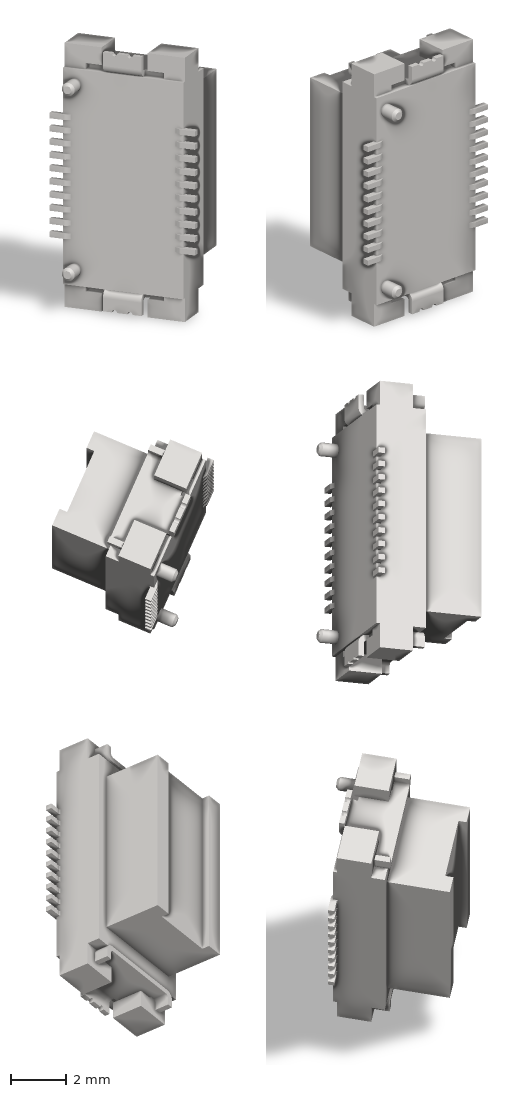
import cadquery as cq
import math


overall_height = 10.0
housing_width = 4.7
housing_depth = 1.9
core_height = 8.2
hood_width = 3.8
hood_height = 6.68
hood_back = 4.2
hood_notch_width = 2.46
hood_notch_depth = 0.3

post_width = 1.45
post_front = 0.14
post_back = 1.4
post_slot_width = 3.06
post_slot_height = 0.23

peg_diameter = 0.5
peg_length = 0.7
peg_chamfer = 0.1
peg_x = -1.9
peg_z = 3.5

leads_per_side = 10
lead_pitch = 0.5
lead_height = 0.2
lead_span = 5.7
lead_front = -0.1
lead_thickness = 0.24
lead_bend = 0.04
lead_heel_x = 2.25
lead_heel_bend = 0.03
lead_root_x = 2.05
lead_root_back = 0.18

sheet = 0.2
bend_inner_radius = 0.13
bend_outer_radius = 0.29
clip_width = 3.94
clip_plate_width = 2.9
clip_front = 0.3
clip_back = 2.0
clip_arm_front = 1.44
clip_arm_reach = 0.61
clip_arm_thickness = 0.23
tab_width = 1.5
tab_front = lead_front
tab_reach = 0.8
tab_notch_spacing = 0.6
tab_notch_radius = 0.1

core_top = core_height / 2


def block(width, y_front, y_back, z_low, z_high, x_center=0.0):
    """Box given by its width in X and its limits in Y and Z."""
    depth = y_back - y_front
    height = z_high - z_low
    center = (x_center, (y_front + y_back) / 2, (z_low + z_high) / 2)
    return cq.Workplane("XY").box(width, depth, height).translate(center)


def on_both_ends(solid):
    """The upper-end solid together with its mirror image at the lower end."""
    return solid.union(solid.mirror("XY"))


def make_housing():
    core = block(housing_width, 0, housing_depth, -core_top, core_top)
    hood = block(hood_width, housing_depth, hood_back, -hood_height / 2, hood_height / 2)
    notch_floor = hood_back - hood_notch_depth
    notch = block(hood_notch_width, notch_floor, hood_back, -hood_height / 2, hood_height / 2)
    return core.union(hood.cut(notch))


def make_posts():
    """Pair of upper posts, slotted along the core to clear the clip plate."""
    post_x = (housing_width - post_width) / 2
    posts = block(post_width, post_front, post_back, core_top, overall_height / 2, -post_x)
    posts = posts.union(posts.mirror("YZ"))
    slot_top = core_top + post_slot_height
    return posts.cut(block(post_slot_width, post_front, post_back, core_top, slot_top))


def bent_sheet(plane, flat_length, leg_reach, leg_thickness, depth):
    """L of sheet: a flat from the origin along local x, then a leg bent up to local y = leg_reach."""
    leg_inside = flat_length - leg_thickness
    return (
        cq.Workplane(plane)
        .lineTo(flat_length - bend_outer_radius, 0)
        .tangentArcPoint((flat_length, bend_outer_radius), relative=False)
        .lineTo(flat_length, leg_reach)
        .lineTo(leg_inside, leg_reach)
        .lineTo(leg_inside, sheet + bend_inner_radius)
        .tangentArcPoint((leg_inside - bend_inner_radius, sheet), relative=False)
        .lineTo(0, sheet)
        .close()
        .extrude(depth)
    )


def make_clip():
    """Upper clip: plate on the core end, two arms bent up behind the posts, one solder tab."""
    plate = block(clip_plate_width, clip_front, clip_back, core_top, core_top + sheet)

    arm_plane = cq.Plane(origin=(0, clip_back, core_top), xDir=(1, 0, 0), normal=(0, -1, 0))
    arm_depth = clip_back - clip_arm_front
    arm = bent_sheet(arm_plane, clip_width / 2, clip_arm_reach, clip_arm_thickness, arm_depth)

    tab_origin = (tab_width / 2, clip_back, core_top)
    tab_plane = cq.Plane(origin=tab_origin, xDir=(0, -1, 0), normal=(-1, 0, 0))
    tab = bent_sheet(tab_plane, clip_back - tab_front, tab_reach, sheet, tab_width)
    for notch_x in (-tab_notch_spacing / 2, tab_notch_spacing / 2):
        notch = (
            cq.Workplane("XZ", origin=(notch_x, tab_front + sheet, core_top + tab_reach))
            .circle(tab_notch_radius)
            .extrude(sheet)
        )
        tab = tab.cut(notch)

    return plate.union(arm).union(arm.mirror("YZ")).union(tab)


def make_peg():
    return (
        cq.Workplane("XZ", origin=(peg_x, 0, peg_z))
        .circle(peg_diameter / 2)
        .extrude(peg_length)
        .faces("<Y")
        .chamfer(peg_chamfer)
    )


def make_lead(z_center):
    """Right-hand lead: a flat foot that bends up into the housing."""
    foot_back = lead_front + lead_thickness
    housing_side = housing_width / 2
    slope_angle = math.atan2(-lead_front, lead_heel_x - lead_root_x)
    slope_start = (
        lead_heel_x - lead_heel_bend * math.cos(slope_angle),
        lead_front + lead_heel_bend * math.sin(slope_angle),
    )
    return (
        cq.Workplane("XY", origin=(0, 0, z_center - lead_height / 2))
        .moveTo(lead_root_x, 0)
        .lineTo(lead_root_x, lead_root_back)
        .lineTo(housing_side, lead_root_back)
        .lineTo(housing_side + lead_bend, foot_back)
        .lineTo(lead_span / 2, foot_back)
        .lineTo(lead_span / 2, lead_front)
        .lineTo(lead_heel_x + lead_heel_bend, lead_front)
        .tangentArcPoint(slope_start, relative=False)
        .close()
        .extrude(lead_height)
    )


result = make_housing()
result = result.union(on_both_ends(make_posts()))
result = result.union(on_both_ends(make_clip()))
result = result.union(on_both_ends(make_peg()))
for index in range(leads_per_side):
    lead = make_lead((index - (leads_per_side - 1) / 2) * lead_pitch)
    result = result.union(lead).union(lead.mirror("YZ"))